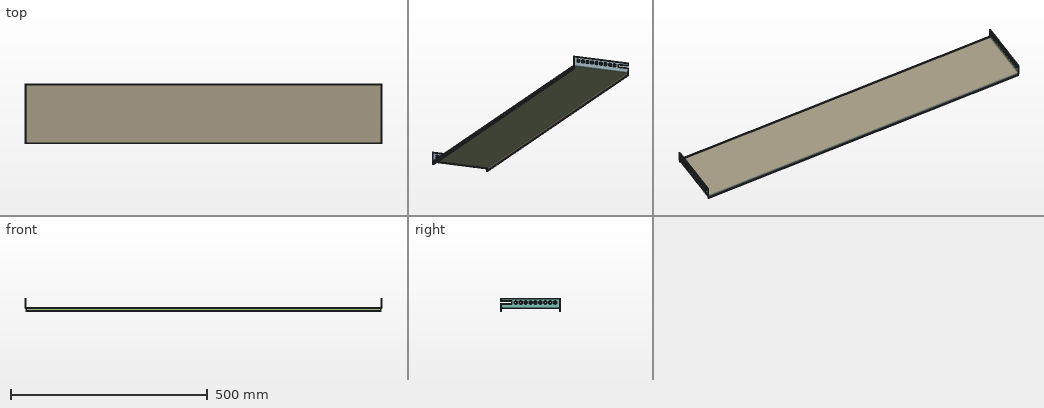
import cadquery as cq

length = 906.0
width = 150.0
height = 32.0

sheet = 1.4
bend_radius = 1.45
inner_radius = bend_radius - sheet
lip_height = 8.0
shelf_top = lip_height
shelf_bottom = shelf_top - sheet

hole_diameter = 6.5
hole_count = 9
hole_pitch = 12.5
hole_drop = 10.0
slot_length = 27.0
slot_height = hole_diameter
hole_z = height - hole_drop


def box(x_size, y_size, z_bottom, z_top):
    """Box centred on the Z axis between two levels."""
    return (
        cq.Workplane("XY")
        .workplane(offset=z_bottom)
        .rect(x_size, y_size)
        .extrude(z_top - z_bottom)
    )


def make_tray():
    """Shelf surface with its two end walls folded upward."""
    outer = box(length, width, shelf_bottom, height)
    outer = outer.edges("|Y and <Z").fillet(bend_radius)
    inner = box(length - 2 * sheet, width, shelf_top, height)
    inner = inner.edges("|Y and <Z").fillet(inner_radius)
    return outer.cut(inner)


def make_lipped_shelf():
    """Flat shelf, between the end folds, with front and back lips folded down."""
    lip_length = length - 2 * bend_radius
    outer = box(lip_length, width, 0, shelf_top)
    outer = outer.edges("|X and >Z").fillet(bend_radius)
    inner = box(lip_length, width - 2 * sheet, 0, shelf_bottom)
    inner = inner.edges("|X and >Z").fillet(inner_radius)
    return outer.cut(inner)


def make_fold_corner_trim():
    """Square material outside the front and back folds, left on the flat shelf."""
    trim_length = length - 2 * bend_radius
    block = box(trim_length, width, shelf_bottom, shelf_top)
    rounded = box(trim_length, width, 0, shelf_top).edges("|X and >Z").fillet(bend_radius)
    return block.cut(rounded)


def make_wall_cutouts():
    """Holes and open slots passing through both end walls."""
    first_hole_y = width / 2 - hole_pitch
    centers = [(first_hole_y - i * hole_pitch, hole_z) for i in range(hole_count)]
    side_plane = cq.Workplane("YZ")
    holes = side_plane.pushPoints(centers).circle(hole_diameter / 2).extrude(length / 2, both=True)
    slot_y = -width / 2 + slot_length / 2
    slot = side_plane.center(slot_y, hole_z).rect(slot_length, slot_height).extrude(length / 2, both=True)
    return holes.union(slot)


result = (
    make_tray()
    .cut(make_fold_corner_trim())
    .union(make_lipped_shelf())
    .cut(make_wall_cutouts())
)